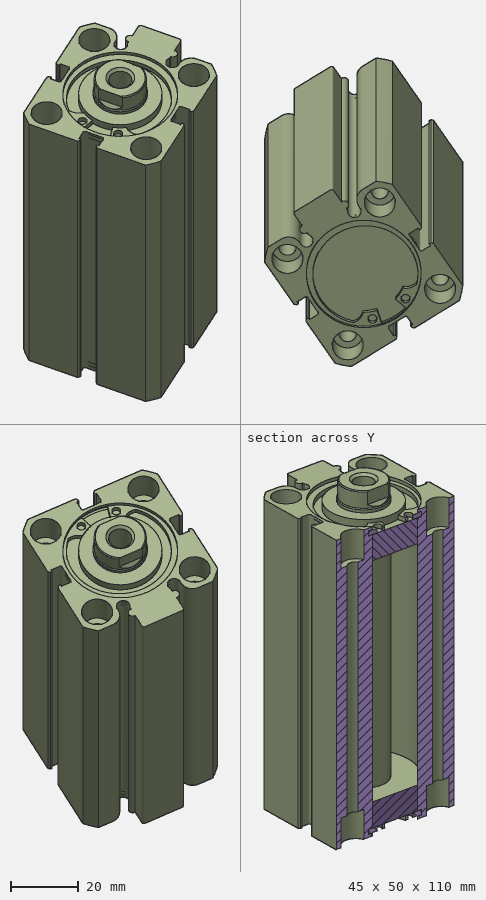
import cadquery as cq
import math


overall_height = 110.0
body_width = 45.0
body_depth = 50.0
body_height = 103.0
half_width = body_width / 2
corner_radius = 29.5
lug_top = body_depth - half_width
lug_half_width = 6.9
lug_edge_fillet = 0.8

notch_radius = 2.0
notch_outer_x = 10.5
notch_center_x = notch_outer_x - notch_radius
notch_center_y = 18.0
notch_mouth_fillet = 3.8
bead_radius = 1.3
bead_center_x = 7.0
bead_center_y = 21.3

slot_floor = 17.9
slot_half_width = 3.3
slot_floor_fillet = 0.5
throat_half_width = 2.6
lip_thickness = 1.2
lip_chamfer = 0.5

screw_offset = 16.3
screw_hole_diameter = 5.2
counterbore_diameter = 9.1
counterbore_depth = 9.9

bore_radius = 16.9
ring_depth = 1.1
ring_thickness = 1.5
ring_floor = ring_depth + ring_thickness
groove_radius = 17.7

ring_inner_radius = 15.5
ring_inner_shift = -0.9
ear_inner_radius = 12.5
ear_gap_angle = 15.0
ear_side_angle = 34.0
ear_root_angle = 46.7
ear_bend_angle = 39.0
ear_bend_radius = 15.0
ear_hole_diameter = 2.6
ear_hole_x = 5.8
ear_hole_y = -13.6

cover_thickness = 8.8
hub_radius = 12.3

rod_radius = 8.0
rod_tip_radius = 7.7
rod_shoulder_z = body_height + 1.3
rod_tip_chamfer = 0.3
flat_half_width = 6.6
flat_bottom_z = body_height + 2.5
thread_diameter = 6.8
thread_depth = 13.2
thread_mouth_diameter = 8.5
drill_point_angle = 118.0


def housing_profile():
    """Outline of the extrusion without slots: turned block, lug, notches and beads."""
    block = cq.Workplane("XY").rect(body_width, body_width).extrude(body_height)
    block = block.intersect(cq.Workplane("XY").circle(corner_radius).extrude(body_height))

    notch_height = half_width - notch_center_y
    notches = (
        cq.Workplane("XY")
        .pushPoints([(side * notch_center_x, notch_center_y) for side in (-1, 1)])
        .circle(notch_radius)
        .extrude(body_height)
    )
    opening = (
        cq.Workplane("XY")
        .center(0, notch_center_y + notch_height / 2)
        .rect(2 * notch_outer_x, notch_height)
        .extrude(body_height)
    )
    block = block.cut(opening).cut(notches)
    for side in (-1, 1):
        mouth = cq.selectors.NearestToPointSelector((side * notch_outer_x, half_width, body_height / 2))
        block = block.edges("|Z").edges(mouth).fillet(notch_mouth_fillet)

    lug_height = lug_top - notch_center_y
    lug = (
        cq.Workplane("XY")
        .center(0, notch_center_y + lug_height / 2)
        .rect(2 * lug_half_width, lug_height)
        .extrude(body_height)
        .edges("|Z and >Y")
        .fillet(lug_edge_fillet)
    )
    beads = (
        cq.Workplane("XY")
        .pushPoints([(side * bead_center_x, bead_center_y) for side in (-1, 1)])
        .circle(bead_radius)
        .extrude(body_height)
    )
    return block.union(lug.cut(notches)).union(beads)


def sensor_slot():
    """T-slot cutter open toward -Y."""
    channel_depth = half_width - lip_thickness - slot_floor
    channel = (
        cq.Workplane("XY")
        .center(0, -slot_floor - channel_depth / 2)
        .rect(2 * slot_half_width, channel_depth)
        .extrude(body_height)
        .edges("|Z and >Y")
        .fillet(slot_floor_fillet)
    )
    mouth_half_width = throat_half_width + lip_chamfer
    throat = (
        cq.Workplane("XY")
        .moveTo(-throat_half_width, -slot_floor - channel_depth / 2)
        .lineTo(-throat_half_width, -half_width + lip_chamfer)
        .lineTo(-mouth_half_width, -half_width)
        .lineTo(mouth_half_width, -half_width)
        .lineTo(throat_half_width, -half_width + lip_chamfer)
        .lineTo(throat_half_width, -slot_floor - channel_depth / 2)
        .close()
        .extrude(body_height)
    )
    return channel.union(throat)


def make_housing():
    body = housing_profile()
    for angle in (-90, 0, 90):
        body = body.cut(sensor_slot().rotate((0, 0, 0), (0, 0, 1), angle))

    screw_points = [(x, y) for x in (-screw_offset, screw_offset) for y in (-screw_offset, screw_offset)]
    holes = cq.Workplane("XY").pushPoints(screw_points).circle(screw_hole_diameter / 2).extrude(body_height)
    body = body.cut(holes)
    for floor_z in (0, body_height - counterbore_depth):
        counterbores = (
            cq.Workplane("XY", origin=(0, 0, floor_z))
            .pushPoints(screw_points)
            .circle(counterbore_diameter / 2)
            .extrude(counterbore_depth)
        )
        body = body.cut(counterbores)

    body = body.cut(cq.Workplane("XY").circle(bore_radius).extrude(body_height))
    for groove_z in (ring_depth, body_height - ring_floor):
        groove = cq.Workplane("XY", origin=(0, 0, groove_z)).circle(groove_radius).extrude(ring_thickness)
        body = body.cut(groove)
    return body


def polar(radius, angle):
    """Point at an angle from -Y, turning toward +X."""
    return radius * math.sin(math.radians(angle)), -radius * math.cos(math.radians(angle))


def make_retaining_ring(bottom_z):
    plane = cq.Workplane("XY", origin=(0, 0, bottom_z))
    root_x, root_y = polar(ring_inner_radius, ear_root_angle)
    root_y += ring_inner_shift
    ear_middle_angle = (ear_gap_angle + ear_side_angle) / 2
    ring = (
        plane.moveTo(*polar(groove_radius, ear_gap_angle))
        .threePointArc((0, groove_radius), polar(groove_radius, -ear_gap_angle))
        .lineTo(*polar(ear_inner_radius, -ear_gap_angle))
        .threePointArc(polar(ear_inner_radius, -ear_middle_angle), polar(ear_inner_radius, -ear_side_angle))
        .threePointArc(polar(ear_bend_radius, -ear_bend_angle), (-root_x, root_y))
        .threePointArc((0, ring_inner_shift + ring_inner_radius), (root_x, root_y))
        .threePointArc(polar(ear_bend_radius, ear_bend_angle), polar(ear_inner_radius, ear_side_angle))
        .threePointArc(polar(ear_inner_radius, ear_middle_angle), polar(ear_inner_radius, ear_gap_angle))
        .close()
        .extrude(ring_thickness)
    )
    ear_holes = (
        plane.pushPoints([(-ear_hole_x, ear_hole_y), (ear_hole_x, ear_hole_y)])
        .circle(ear_hole_diameter / 2)
        .extrude(ring_thickness)
    )
    return ring.cut(ear_holes)


def make_front_cover():
    bottom_z = body_height - ring_floor - cover_thickness
    plane = cq.Workplane("XY", origin=(0, 0, bottom_z))
    cover = plane.circle(bore_radius).extrude(cover_thickness)
    cover = cover.union(plane.circle(hub_radius).extrude(body_height - bottom_z))
    return cover.cut(plane.circle(rod_radius).extrude(body_height - bottom_z))


def make_rear_cover():
    return cq.Workplane("XY", origin=(0, 0, ring_floor)).circle(bore_radius).extrude(cover_thickness)


def wrench_flat():
    """Cutter for the -Y wrench flat, with a 45 degree run-out at its lower end."""
    outer = 2 * rod_radius
    return (
        cq.Workplane("YZ", origin=(-rod_radius, 0, 0))
        .moveTo(-flat_half_width, overall_height)
        .lineTo(-flat_half_width, flat_bottom_z)
        .lineTo(-outer, flat_bottom_z - (outer - flat_half_width))
        .lineTo(-outer, overall_height)
        .close()
        .extrude(outer)
    )


def threaded_hole():
    """Cutter for the tapped hole, turned about the rod axis."""
    thread_radius = thread_diameter / 2
    mouth_radius = thread_mouth_diameter / 2
    floor_z = overall_height - thread_depth
    point_z = floor_z - thread_radius / math.tan(math.radians(drill_point_angle / 2))
    return (
        cq.Workplane("XZ")
        .moveTo(0, point_z)
        .lineTo(thread_radius, floor_z)
        .lineTo(thread_radius, overall_height - (mouth_radius - thread_radius))
        .lineTo(mouth_radius, overall_height)
        .lineTo(0, overall_height)
        .close()
        .revolve(360, (0, 0, 0), (0, 1, 0))
    )


def make_rod():
    bottom_z = ring_floor + cover_thickness
    shoulder_chamfer = rod_radius - rod_tip_radius
    rod = (
        cq.Workplane("XZ")
        .moveTo(0, bottom_z)
        .lineTo(rod_radius, bottom_z)
        .lineTo(rod_radius, rod_shoulder_z - shoulder_chamfer)
        .lineTo(rod_tip_radius, rod_shoulder_z)
        .lineTo(rod_tip_radius, overall_height - rod_tip_chamfer)
        .lineTo(rod_tip_radius - rod_tip_chamfer, overall_height)
        .lineTo(0, overall_height)
        .close()
        .revolve(360, (0, 0, 0), (0, 1, 0))
    )
    flat = wrench_flat()
    return rod.cut(flat).cut(flat.mirror("XZ")).cut(threaded_hole())


housing = make_housing()
front_cover = make_front_cover()
rear_cover = make_rear_cover()
retaining_rings = [make_retaining_ring(z) for z in (ring_depth, body_height - ring_floor)]
rod = make_rod()

result = cq.Compound.makeCompound(
    [
        housing.val(),
        front_cover.val(),
        rear_cover.val(),
        *[ring.val() for ring in retaining_rings],
        rod.val(),
    ]
)